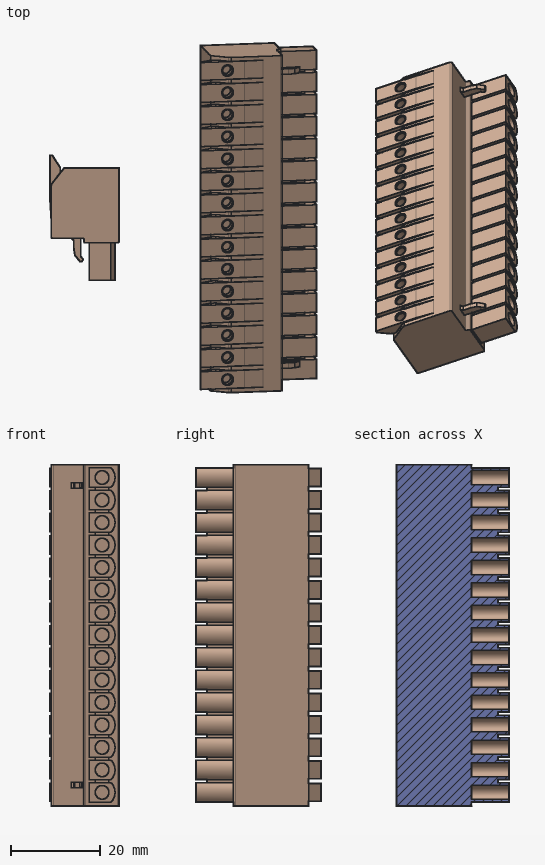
import cadquery as cq


total_height = 75.9
total_width = 15.4
total_depth = 27.85

pole_count = 15
first_pole_z = 3.0
last_pole_z = 73.0
pole_pitch = (last_pole_z - first_pole_z) / (pole_count - 1)

body_left = 0.265
body_back = 25.05
body_front = 8.35
shelf_front = 9.3
step_x = 7.6
back_chamfer_x = 3.2
back_chamfer_y = 21.55
back_relief = 0.2
relief_length = 0.6
body_rounding = 0.45
step_rounding = 0.265

lever_height = 4.0
lever_tip_width = 0.5
lever_width = 2.35
lever_shoulder_y = 25.05
lever_bend_y = 18.0
lever_end_y = 13.8
lever_hole_y = 21.8
lever_hole_radius = 1.1
lever_countersink = 0.2
lever_hole_depth = 2.3

socket_height = 4.3
socket_left = 8.7
socket_flat_right = 13.6
socket_right = 14.5
socket_hole_x = 11.6
socket_hole_radius = 1.5

web_left = 10.1
web_right = 13.05
web_front = 2.4

hook_height = 1.2
hook_root_left = 4.8
hook_left = 5.3
hook_tip_left = 5.55
hook_right = 6.9
barb_right = 7.4
hook_flare_y = 8.9
hook_taper_y = 7.05
hook_bend_y = 5.6
barb_top_y = 5.3
barb_corner_y = 4.7
hook_tip_y = 4.2
hook_tip_start_x = 6.7
hook_tip_end_x = 7.1
hook_centers_z = (4.7, 71.25)

pole_centers_z = [first_pole_z + i * pole_pitch for i in range(pole_count)]


def plate(outline, center_z, height):
    """Extrude an XY outline symmetrically about center_z."""
    return outline.extrude(height / 2, both=True).translate((0, 0, center_z))


def round_edge(solid, x, y, radius):
    """Round the vertical edge of solid that stands at (x, y)."""
    edge = cq.selectors.NearestToPointSelector((x, y, total_height / 2))
    return solid.edges("|Z").edges(edge).fillet(radius)


def make_body():
    outline = [
        (back_chamfer_x, body_back),
        (total_width, body_back),
        (total_width, body_front),
        (step_x, body_front),
        (step_x, shelf_front),
        (body_left, shelf_front),
        (body_left, back_chamfer_y - relief_length),
        (body_left + back_relief, back_chamfer_y),
    ]
    body = cq.Workplane("XY").polyline(outline).close().extrude(total_height)
    body = round_edge(body, total_width, body_front, body_rounding)
    body = round_edge(body, body_left, shelf_front, body_rounding)
    body = round_edge(body, step_x, body_front, step_rounding)
    return round_edge(body, step_x, shelf_front, step_rounding)


def make_lever(center_z):
    chamfer_slope = (body_back - back_chamfer_y) / (back_chamfer_x - body_left - back_relief)
    seat_y = body_back - chamfer_slope * (back_chamfer_x - lever_width)
    overlap_x = body_left + back_relief
    outline = cq.Workplane("XY").polyline([
        (0, total_depth),
        (lever_tip_width, total_depth),
        (lever_width, lever_shoulder_y),
        (lever_width, seat_y),
        (overlap_x, back_chamfer_y),
        (overlap_x, lever_end_y),
        (body_left, lever_end_y),
        (0, lever_bend_y),
    ]).close()
    return plate(outline, center_z, lever_height)


def make_lever_hole(center_z):
    """Countersunk blind hole entering the lever along +X."""
    countersink = cq.Workplane(cq.Solid.makeCone(
        lever_hole_radius + lever_countersink,
        lever_hole_radius,
        lever_countersink,
        cq.Vector(0, lever_hole_y, center_z),
        cq.Vector(1, 0, 0),
    ))
    bore = (
        cq.Workplane("YZ")
        .center(lever_hole_y, center_z)
        .circle(lever_hole_radius)
        .extrude(lever_hole_depth)
    )
    return bore.union(countersink)


def make_socket(center_z):
    """D-shaped socket with its round side toward +X."""
    half_height = socket_height / 2
    return (
        cq.Workplane("XZ", origin=(0, body_front, center_z))
        .moveTo(socket_left, -half_height)
        .lineTo(socket_flat_right, -half_height)
        .threePointArc((socket_right, 0), (socket_flat_right, half_height))
        .lineTo(socket_left, half_height)
        .close()
        .extrude(body_front)
    )


def make_socket_hole(center_z):
    """Round bore running from the socket tip to the housing face."""
    return (
        cq.Workplane("XZ", origin=(0, body_front, center_z))
        .center(socket_hole_x, 0)
        .circle(socket_hole_radius)
        .extrude(body_front)
    )


def make_web(lower_z, upper_z):
    """Rib filling the gap between two neighbouring sockets."""
    gap = upper_z - lower_z - socket_height
    return cq.Workplane("XY").box(
        web_right - web_left, body_front - web_front, gap, centered=(False, False, True)
    ).translate((web_left, web_front, (lower_z + upper_z) / 2))


def make_hook(center_z):
    """Latch hook with a flared root and a barb toward +X."""
    outline = cq.Workplane("XY").polyline([
        (hook_root_left, shelf_front),
        (hook_left, hook_flare_y),
        (hook_left, hook_taper_y),
        (hook_tip_left, hook_bend_y),
        (hook_tip_start_x, hook_tip_y),
        (hook_tip_end_x, hook_tip_y),
        (barb_right, barb_corner_y),
        (hook_right, barb_top_y),
        (hook_right, shelf_front),
    ]).close()
    return plate(outline, center_z, hook_height)


result = make_body()
for pole_z in pole_centers_z:
    result = result.union(make_lever(pole_z)).union(make_socket(pole_z))
for lower_z, upper_z in zip(pole_centers_z, pole_centers_z[1:]):
    result = result.union(make_web(lower_z, upper_z))
for hook_z in hook_centers_z:
    result = result.union(make_hook(hook_z))
for pole_z in pole_centers_z:
    result = result.cut(make_lever_hole(pole_z)).cut(make_socket_hole(pole_z))